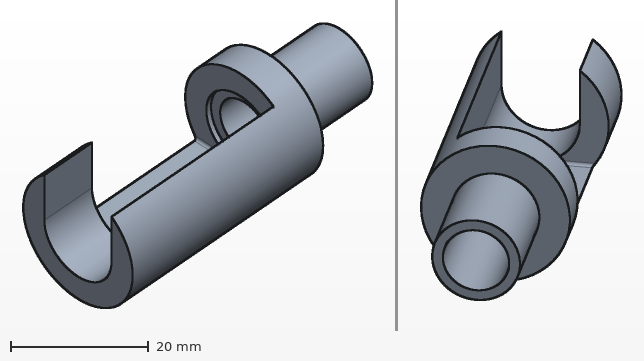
import cadquery as cq

total_length = 55
body_diameter = 22
body_length = 40.0
pin_diameter = 13.0
through_hole_diameter = 9.8
bore_diameter = 13.5
bore_depth = 35.0

channel_length = 34.0
window_start = 10.0
window_corner_radius = 0.5

body_radius = body_diameter / 2
bore_radius = bore_diameter / 2
window_length = channel_length - window_start


def cylinder(diameter, start, end):
    """Solid cylinder along +Y between two stations."""
    profile = cq.Workplane("XZ", origin=(0, start, 0)).circle(diameter / 2)
    return profile.extrude(start - end)


def open_channel():
    """Straight slot that opens the bore upwards at its full width."""
    return cq.Workplane("XY").box(
        bore_diameter, channel_length, body_radius, centered=(True, False, False)
    )


def side_window():
    """Opening from the axis to the -X side, level with the bottom of the bore."""
    window = cq.Workplane("XY").box(
        body_radius, window_length, body_radius + bore_radius, centered=False
    )
    window = window.edges("|X and <Z").fillet(window_corner_radius)
    return window.translate((-body_radius, window_start, -bore_radius))


body = cylinder(body_diameter, 0, body_length)
pin = cylinder(pin_diameter, body_length, total_length)

result = (
    body.union(pin)
    .cut(cylinder(through_hole_diameter, 0, total_length))
    .cut(cylinder(bore_diameter, 0, bore_depth))
    .cut(open_channel())
    .cut(side_window())
)